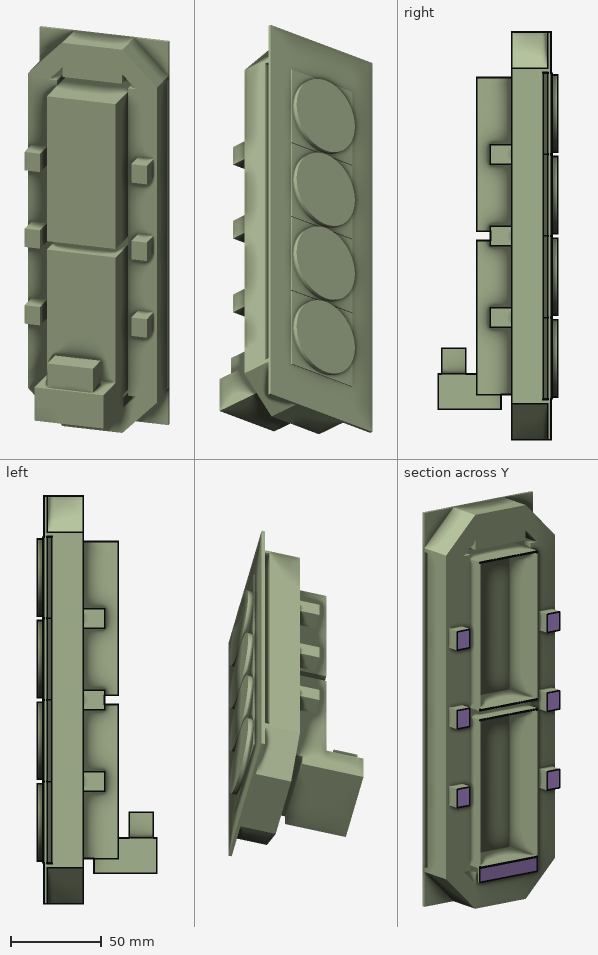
import cadquery as cq


HOUSING_HEIGHT = 225.0
HOUSING_WIDTH = 75.0
HOUSING_BACK_Y = -21.8
PLATE_THICKNESS = 1.8
CORNER_CUT = 20.0

SLOT_HEIGHT = 180.5
SLOT_DEPTH = 2.7
SLOT_FRONT_Y = -PLATE_THICKNESS
SLOT_BACK_Y = SLOT_FRONT_Y - SLOT_DEPTH

OPENING_WIDTH = 41.2
OPENING_HEIGHT = 185.0
WING_INNER_X = 17.3
WING_SIZE = 7.9

INSERT_COUNT = 4
INSERT_PITCH = 45.0
INSERT_RIM_SIZE = 44.5
INSERT_RIM_HEIGHT = 0.7
DISC_RADIUS = 21.4
DISC_TOP_Y = 3.5
INSERT_Z = [(i - (INSERT_COUNT - 1) / 2) * INSERT_PITCH for i in range(INSERT_COUNT)]

WINDOW_WIDTH = INSERT_RIM_SIZE
WINDOW_HEIGHT = (INSERT_COUNT - 1) * INSERT_PITCH + INSERT_RIM_SIZE

POST_WIDTH = 9.0
POST_HEIGHT = 10.8
POST_LENGTH = 11.7
POST_X = 31.0
POST_PITCH = INSERT_PITCH
POST_ROWS = (-1, 0, 1)

BOX_WIDTH = 40.0
BOX_HEIGHT = 85.0
BOX_BACK_Y = -41.2
BOX_GAP = 5.0
BOX_SIDE_WALL = 0.7
BOX_BACK_WALL = 3.4
BOX_Z = (BOX_HEIGHT + BOX_GAP) / 2
LOWER_BOX_BOTTOM_Z = -BOX_Z - BOX_HEIGHT / 2

CONNECTOR_WIDTH = BOX_WIDTH
CONNECTOR_TOP_Z = -76.0
CONNECTOR_BOTTOM_Z = -95.6
CONNECTOR_FRONT_Y = -27.7
CONNECTOR_BACK_Y = -62.3
TAB_WIDTH = 26.5
TAB_TOP_Z = -61.9
TAB_FRONT_Y = -47.0
TAB_BACK_Y = -60.5


def block(width, y_range, z_range):
    """A box centred on x = 0 that spans the given Y and Z ranges."""
    depth = max(y_range) - min(y_range)
    height = max(z_range) - min(z_range)
    centre = (0, sum(y_range) / 2, sum(z_range) / 2)
    return cq.Workplane("XY").box(width, depth, height).translate(centre)


def centred(size):
    """The range of a length centred on zero."""
    return (-size / 2, size / 2)


def extrude_back(sketch, front_y, back_y):
    """Extrude an XZ outline from front_y towards -Y as far as back_y."""
    return sketch.extrude(front_y - back_y).translate((0, front_y, 0))


def make_back_opening():
    """Rectangular opening with a triangular wing beyond each corner."""
    y_range = (SLOT_BACK_Y, HOUSING_BACK_Y)
    opening = block(OPENING_WIDTH, y_range, centred(OPENING_HEIGHT))
    wing_base_z = SLOT_HEIGHT / 2
    for x_side in (-1, 1):
        for z_side in (-1, 1):
            wing_outline = (
                cq.Workplane("XZ")
                .moveTo(x_side * WING_INNER_X, z_side * wing_base_z)
                .lineTo(x_side * (WING_INNER_X + WING_SIZE), z_side * wing_base_z)
                .lineTo(x_side * WING_INNER_X, z_side * (wing_base_z + WING_SIZE))
                .close()
            )
            opening = opening.union(extrude_back(wing_outline, *y_range))
    return opening


def make_posts():
    """All the posts, as a list of separate solids to be joined to the housing."""
    post = block(POST_WIDTH, (HOUSING_BACK_Y, HOUSING_BACK_Y - POST_LENGTH), centred(POST_HEIGHT))
    return [post.translate((x, 0, row * POST_PITCH)) for x in (-POST_X, POST_X) for row in POST_ROWS]


def make_housing():
    """Plate and block in one piece, with the slot, the window, the opening and the posts."""
    plate = block(HOUSING_WIDTH, (SLOT_FRONT_Y, 0), centred(HOUSING_HEIGHT))
    body = block(HOUSING_WIDTH, (HOUSING_BACK_Y, SLOT_FRONT_Y), centred(HOUSING_HEIGHT))
    body = body.edges("|Y").chamfer(CORNER_CUT)
    housing = plate.union(body)
    for post in make_posts():
        housing = housing.union(post)

    slot = block(HOUSING_WIDTH, (SLOT_BACK_Y, SLOT_FRONT_Y), centred(SLOT_HEIGHT))
    window = block(WINDOW_WIDTH, (SLOT_FRONT_Y, 0), centred(WINDOW_HEIGHT))
    return housing.cut(slot).cut(window).cut(make_back_opening())


def make_insert(z):
    """Flange in the side slot, square rim through the plate and a round disc on the rim."""
    flange = block(INSERT_PITCH, (SLOT_BACK_Y, SLOT_FRONT_Y), centred(INSERT_PITCH))
    rim = block(INSERT_RIM_SIZE, (SLOT_FRONT_Y, INSERT_RIM_HEIGHT), centred(INSERT_RIM_SIZE))
    disc = extrude_back(cq.Workplane("XZ").circle(DISC_RADIUS), DISC_TOP_Y, INSERT_RIM_HEIGHT)
    return flange.union(rim).union(disc).translate((0, 0, z))


def make_box(z):
    """Thin-walled box, open at its +Y end, standing on the back of the inserts."""
    box = block(BOX_WIDTH, (BOX_BACK_Y, SLOT_BACK_Y), centred(BOX_HEIGHT))
    cavity = block(
        BOX_WIDTH - 2 * BOX_SIDE_WALL,
        (BOX_BACK_Y + BOX_BACK_WALL, SLOT_BACK_Y),
        centred(BOX_HEIGHT - 2 * BOX_SIDE_WALL),
    )
    return box.cut(cavity).translate((0, 0, z))


def make_connector():
    """L-shaped block with a tab standing on its upper face."""
    connector = block(
        CONNECTOR_WIDTH, (CONNECTOR_BACK_Y, CONNECTOR_FRONT_Y), (CONNECTOR_BOTTOM_Z, CONNECTOR_TOP_Z)
    )
    step = block(
        CONNECTOR_WIDTH, (BOX_BACK_Y, CONNECTOR_FRONT_Y), (LOWER_BOX_BOTTOM_Z, CONNECTOR_TOP_Z)
    )
    tab = block(TAB_WIDTH, (TAB_BACK_Y, TAB_FRONT_Y), (CONNECTOR_TOP_Z, TAB_TOP_Z))
    return connector.cut(step).union(tab)


housing = make_housing()
inserts = [make_insert(z) for z in INSERT_Z]
boxes = [make_box(z) for z in (-BOX_Z, BOX_Z)]
connector = make_connector()

result = cq.Compound.makeCompound(
    [
        housing.val(),
        *[insert.val() for insert in inserts],
        *[box.val() for box in boxes],
        connector.val(),
    ]
)